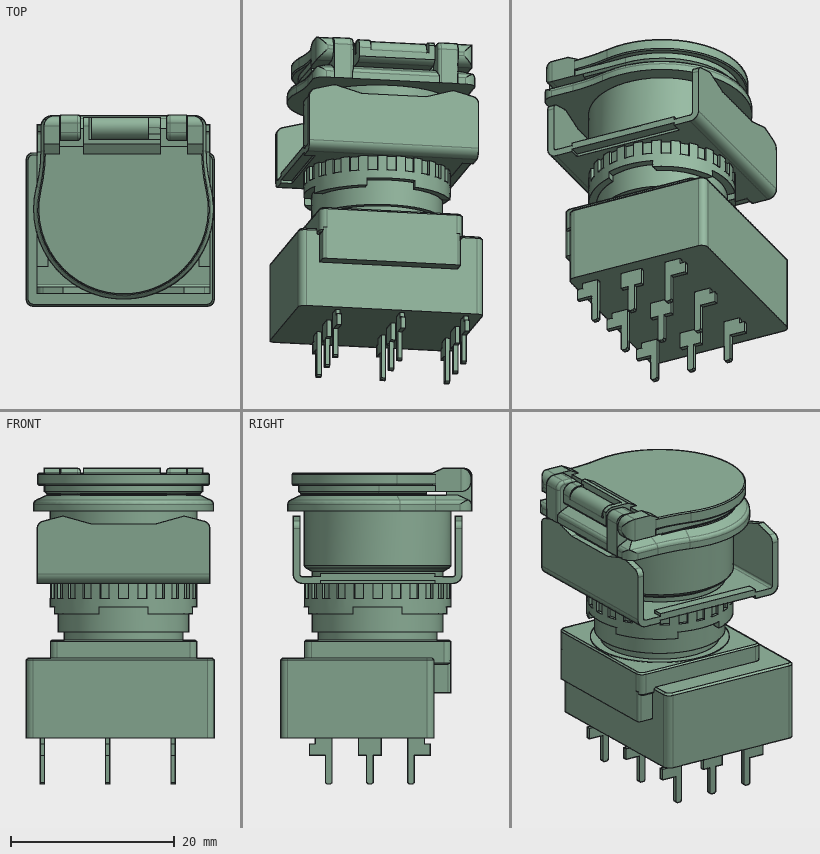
import cadquery as cq
import math

EPS = 0.5

PIN_SHOULDER_BOTTOM_Z = 3.5
PIN_SHOULDER_TOP_Z = 4.9
BASE_BOTTOM_Z = 5.6
REAR_STEP_BOTTOM_Z = 11.15
REAR_STEP_TOP_Z = 14.6
BASE_TOP_Z = 15.4
CASE_TOP_Z = 17.6
NECK_TOP_Z = 18.55
NUT_BOTTOM_Z = 20.8
NUT_NOTCH_TOP_Z = 21.65
NUT_SLOT_BOTTOM_Z = 22.7
NUT_TOP_Z = 24.5
FLANGE_BOTTOM_Z = 33.35
FLANGE_TOP_Z = 35.3
SKIRT_BOTTOM_Z = 35.45
HINGE_BOTTOM_Z = 35.75
LID_BOTTOM_Z = 36.5
LID_TOP_Z = 38.0
HINGE_TOP_Z = 38.6

BASE_WIDTH = 23.0
BASE_CENTER_X = -0.4
BASE_FRONT_Y = -11.87
BASE_BACK_Y = 6.9
BASE_CORNER_RADIUS = 0.85
BASE_TOP_CHAMFER = 0.25
CASE_SIDE = 17.9
CASE_CORNER_RADIUS = 0.85
CASE_EDGE_CHAMFER = 0.2
REAR_STEP_INSET = 0.35
CASE_RECESS_RADIUS = 8.5
CASE_RECESS_DEPTH = 0.1

PIN_COLUMNS = 3
PIN_PITCH_X = 8.0
PIN_CENTER_X = -1.93
PIN_CENTER_Y = -0.95
PIN_THICKNESS = 0.55
PIN_WIDTH = 0.85
PIN_TIP_CHAMFER = 0.2
MIDDLE_SHOULDER_WIDTH = 2.8
OUTER_PIN_INNER_OFFSET = 4.6
OUTER_ROOT_WIDTH = 2.1
OUTER_SHOULDER_WIDTH = 2.8

NECK_RADIUS = 7.28
THREAD_RADIUS = 8.0
BARREL_RADIUS = 9.0
BARREL_TAPER_BOTTOM_Z = 25.95
BARREL_CHAMFER_BOTTOM_Z = 26.4
BARREL_STRAIGHT_BOTTOM_Z = 26.7
BARREL_CHAMFER = 0.25
FLANGE_RADIUS = 11.0
FLANGE_SIDE_X = 10.1
FLANGE_BACK_Y = 11.45
FLANGE_CORNER_RADIUS = 1.4
FLANGE_SLOPE_HEIGHT = 0.75
FLANGE_SLOPE_WIDTH = 1.6
FLANGE_EDGE_ROUND = 0.6
RIM_TOLERANCE = 0.05
SIDE_STRAIGHT_Y = 7.1

KNUCKLE_INNER_X = 5.25
KNUCKLE_OUTER_X = 7.7
KNUCKLE_FRONT_Y = 8.4
KNUCKLE_BACK_Y = 11.53
KNUCKLE_ROUND = 1.0
KNUCKLE_END_ROUND = 0.4
HINGE_AXIS_Y = 9.87
HINGE_AXIS_Z = 37.15

LID_RADIUS = 10.5
LID_SIDE_X = 9.7
LID_BACK_Y = 11.4
LID_CORNER_RADIUS = 1.2
LID_EDGE_CHAMFER = 0.15
SKIRT_RADIUS = 9.65
SKIRT_SIDE_X = 9.6
SKIRT_CHAMFER = 0.3
SKIRT_STEP_Y = 6.0
HINGE_BACK_ROUND = 1.2
RAMP_FOOT_Y = 6.73
RAMP_TOP_Y = 7.96
GAP_FRONT_Y = 7.66
GAP_OUTER_X = 7.8
LUG_LEFT_X = -4.9
LUG_RIGHT_X = 4.5
LUG_BACK_Y = 11.2
POCKET_LEFT_X = -4.2
POCKET_FRONT_Y = 8.5
ROLLER_LEFT_X = -3.9
ROLLER_RIGHT_X = 3.05
ROLLER_RADIUS = 1.33
ROLLER_STOP_FRONT_Y = 9.2

NUT_RADIUS = 8.97
NUT_SLOT_COUNT = 24
NUT_SLOT_WIDTH = 1.17
NUT_SLOT_DEPTH = 0.4
NUT_NOTCH_COUNT = 4
NUT_NOTCH_WIDTH = 6.0

BRACKET_HALF_X = 10.55
BRACKET_HALF_Y = 10.33
BRACKET_THICKNESS = 0.85
BRACKET_BEND_RADIUS = 1.15
BRACKET_VALLEY_Z = 31.8
BRACKET_PEAK_Z = 32.75
BRACKET_SHOULDER_Z = 31.95
BRACKET_VALLEY_HALF_X = 4.0
BRACKET_PEAK_X = 7.4
BRACKET_CORNER_RADIUS = 0.9
STRIP_INNER_X = 9.2
STRIP_HALF_Y = 7.0
STRIP_OFFSET = 0.35


def block(x_range, y_range, z_range):
    """Rectangular block between the given limits."""
    size = [high - low for low, high in (x_range, y_range, z_range)]
    corner = (x_range[0], y_range[0], z_range[0])
    return cq.Workplane("XY").box(*size, centered=False).translate(corner)


def disc(radius, bottom_z, top_z):
    return cq.Workplane("XY").workplane(offset=bottom_z).circle(radius).extrude(top_z - bottom_z)


def hinge_outline(radius, side_x, back_y, bottom_z, top_z):
    """Round plate blended by concave arcs into a straight-sided hinge end."""
    blend = (side_x**2 + SIDE_STRAIGHT_Y**2 - radius**2) / (2 * (radius - side_x))
    blend_center_x = side_x + blend
    tangent_angle = math.atan2(SIDE_STRAIGHT_Y, blend_center_x)
    join_x = radius * math.cos(tangent_angle)
    join_y = radius * math.sin(tangent_angle)
    middle_x = blend_center_x - blend * math.cos(tangent_angle / 2)
    middle_y = SIDE_STRAIGHT_Y - blend * math.sin(tangent_angle / 2)
    return (
        cq.Workplane("XY").workplane(offset=bottom_z)
        .moveTo(-join_x, join_y)
        .threePointArc((0, -radius), (join_x, join_y))
        .threePointArc((middle_x, middle_y), (side_x, SIDE_STRAIGHT_Y))
        .lineTo(side_x, back_y)
        .lineTo(-side_x, back_y)
        .lineTo(-side_x, SIDE_STRAIGHT_Y)
        .threePointArc((-middle_x, middle_y), (-join_x, join_y))
        .close()
        .extrude(top_z - bottom_z)
    )


def make_base():
    base_left_x = BASE_CENTER_X - BASE_WIDTH / 2
    base = block(
        (base_left_x, base_left_x + BASE_WIDTH),
        (BASE_FRONT_Y, BASE_BACK_Y),
        (BASE_BOTTOM_Z, BASE_TOP_Z),
    )
    return base.edges("|Z").fillet(BASE_CORNER_RADIUS).faces(">Z").edges().chamfer(BASE_TOP_CHAMFER)


def make_case():
    """Square case, with a narrower step hanging down behind the base."""
    half = CASE_SIDE / 2
    step_half = half - REAR_STEP_INSET
    case = block((-half, half), (-half, half), (REAR_STEP_TOP_Z, CASE_TOP_Z))
    case = case.edges("|Z").fillet(CASE_CORNER_RADIUS)
    case = case.faces("|Z").edges().chamfer(CASE_EDGE_CHAMFER)
    rear_step = block((-step_half, step_half), (0, half), (REAR_STEP_BOTTOM_Z, CASE_TOP_Z - EPS))
    rear_step = rear_step.edges("|Z and >Y").fillet(REAR_STEP_INSET)
    rear_step = rear_step.intersect(block((-half, half), (0, half), (0, REAR_STEP_TOP_Z + EPS)))
    recess = disc(CASE_RECESS_RADIUS, CASE_TOP_Z - CASE_RECESS_DEPTH, CASE_TOP_Z + EPS)
    return case.union(rear_step).cut(recess)


def pin_plate(x, points):
    """Flat pin of the given Y-Z outline, centred on x, with a chamfered tip."""
    plate = cq.Workplane("YZ").workplane(offset=x - PIN_THICKNESS / 2)
    plate = plate.polyline(points).close().extrude(PIN_THICKNESS)
    return plate.faces("<Z").edges("|X").chamfer(PIN_TIP_CHAMFER)


def middle_pin(x):
    half_shoulder = MIDDLE_SHOULDER_WIDTH / 2
    half_pin = PIN_WIDTH / 2
    root_z = BASE_BOTTOM_Z + EPS
    outline = [
        (-half_pin, 0), (half_pin, 0),
        (half_pin, PIN_SHOULDER_BOTTOM_Z), (half_shoulder, PIN_SHOULDER_BOTTOM_Z),
        (half_shoulder, root_z), (-half_shoulder, root_z),
        (-half_shoulder, PIN_SHOULDER_BOTTOM_Z), (-half_pin, PIN_SHOULDER_BOTTOM_Z),
    ]
    return pin_plate(x, [(PIN_CENTER_Y + y, z) for y, z in outline])


def outer_pin(x, side):
    """Pin of the front (side -1) or back (side +1) row; its shoulder points outward."""
    root_z = BASE_BOTTOM_Z + EPS
    outline = [
        (0, 0), (PIN_WIDTH, 0),
        (PIN_WIDTH, PIN_SHOULDER_BOTTOM_Z), (OUTER_SHOULDER_WIDTH, PIN_SHOULDER_BOTTOM_Z),
        (OUTER_SHOULDER_WIDTH, PIN_SHOULDER_TOP_Z), (OUTER_ROOT_WIDTH, PIN_SHOULDER_TOP_Z),
        (OUTER_ROOT_WIDTH, root_z), (0, root_z),
    ]
    return pin_plate(x, [(PIN_CENTER_Y + side * (OUTER_PIN_INNER_OFFSET + y), z) for y, z in outline])


def make_barrel():
    profile = [
        (0, CASE_TOP_Z - EPS), (NECK_RADIUS, CASE_TOP_Z - EPS),
        (NECK_RADIUS, NECK_TOP_Z), (THREAD_RADIUS, NECK_TOP_Z),
        (THREAD_RADIUS, BARREL_TAPER_BOTTOM_Z),
        (BARREL_RADIUS - BARREL_CHAMFER, BARREL_CHAMFER_BOTTOM_Z),
        (BARREL_RADIUS, BARREL_STRAIGHT_BOTTOM_Z),
        (BARREL_RADIUS, FLANGE_BOTTOM_Z + EPS), (0, FLANGE_BOTTOM_Z + EPS),
    ]
    return cq.Workplane("XZ").polyline(profile).close().revolve(360, (0, 0), (0, 1))


def make_flange():
    """Flange with a wide sloped rim; the corners are rounded after sloping."""
    outline = (FLANGE_RADIUS, FLANGE_SIDE_X, FLANGE_BACK_Y, FLANGE_BOTTOM_Z, FLANGE_TOP_Z)
    sloped = hinge_outline(*outline)
    sloped = sloped.faces(">Z").edges().chamfer(FLANGE_SLOPE_HEIGHT, FLANGE_SLOPE_WIDTH)
    rim_z = FLANGE_TOP_Z - FLANGE_SLOPE_HEIGHT
    rim_slice = cq.selectors.BoxSelector(
        (-2 * FLANGE_RADIUS, -2 * FLANGE_RADIUS, rim_z - RIM_TOLERANCE),
        (2 * FLANGE_RADIUS, 2 * FLANGE_RADIUS, rim_z + RIM_TOLERANCE),
    )
    sloped = sloped.edges(rim_slice).fillet(FLANGE_EDGE_ROUND)
    rounded = hinge_outline(*outline).edges("|Z and >Y").fillet(FLANGE_CORNER_RADIUS)
    return sloped.intersect(rounded)


def make_knuckle(side):
    """Hinge knuckle standing on the flange, rounded on top and at its inner end."""
    knuckle = block(
        (KNUCKLE_INNER_X, KNUCKLE_OUTER_X),
        (KNUCKLE_FRONT_Y, KNUCKLE_BACK_Y),
        (FLANGE_BOTTOM_Z, HINGE_TOP_Z),
    )
    knuckle = knuckle.faces(">Z").edges("|X").fillet(KNUCKLE_ROUND)
    knuckle = knuckle.faces("<X").edges("not <Z").fillet(KNUCKLE_END_ROUND)
    return knuckle if side > 0 else knuckle.mirror("YZ")


def make_housing():
    """Operator housing: base, terminal pins, case, barrel, flange and knuckles."""
    housing = make_base().union(make_case()).union(make_barrel()).union(make_flange())
    for column in range(PIN_COLUMNS):
        x = PIN_CENTER_X + (column - (PIN_COLUMNS - 1) / 2) * PIN_PITCH_X
        housing = housing.union(middle_pin(x))
        for side in (-1, 1):
            housing = housing.union(outer_pin(x, side))
    for side in (-1, 1):
        housing = housing.union(make_knuckle(side))
    return housing


def make_hinge_bar():
    """Raised bar along the lid's back edge, with a ramp in front and a rounded back."""
    straight_back_y = LID_BACK_Y - HINGE_BACK_ROUND
    diagonal = HINGE_BACK_ROUND * math.sqrt(0.5)
    arc_middle_y = straight_back_y + diagonal
    top_center_z = HINGE_TOP_Z - HINGE_BACK_ROUND
    bottom_center_z = HINGE_BOTTOM_Z + HINGE_BACK_ROUND
    bar = (
        cq.Workplane("YZ").workplane(offset=-LID_SIDE_X)
        .moveTo(SIDE_STRAIGHT_Y, HINGE_BOTTOM_Z)
        .lineTo(straight_back_y, HINGE_BOTTOM_Z)
        .threePointArc((arc_middle_y, bottom_center_z - diagonal), (LID_BACK_Y, bottom_center_z))
        .lineTo(LID_BACK_Y, top_center_z)
        .threePointArc((arc_middle_y, top_center_z + diagonal), (straight_back_y, HINGE_TOP_Z))
        .lineTo(RAMP_TOP_Y, HINGE_TOP_Z)
        .lineTo(RAMP_FOOT_Y, LID_TOP_Z)
        .lineTo(RAMP_FOOT_Y, LID_BOTTOM_Z)
        .lineTo(SIDE_STRAIGHT_Y, LID_BOTTOM_Z)
        .close()
        .extrude(2 * LID_SIDE_X)
    )
    footprint = hinge_outline(LID_RADIUS, LID_SIDE_X, LID_BACK_Y, HINGE_BOTTOM_Z, HINGE_TOP_Z)
    return bar.intersect(footprint.edges("|Z and >Y").fillet(LID_CORNER_RADIUS))


def cut_knuckle_gaps(lid):
    """Clear the lid around both knuckles and level the ramp in front of them."""
    for gap_x in ((-GAP_OUTER_X, LUG_LEFT_X), (LUG_RIGHT_X, GAP_OUTER_X)):
        lid = lid.cut(block(gap_x, (GAP_FRONT_Y, LID_BACK_Y + EPS), (SKIRT_BOTTOM_Z, HINGE_TOP_Z + EPS)))
        lid = lid.cut(block(gap_x, (RAMP_FOOT_Y, GAP_FRONT_Y), (LID_TOP_Z, HINGE_TOP_Z + EPS)))
    return lid


def add_roller(lid):
    """Pocket in the middle lug holding a cylindrical roller and its end stop."""
    lug_x = (LUG_LEFT_X, LUG_RIGHT_X)
    lid = lid.cut(block(lug_x, (LUG_BACK_Y, LID_BACK_Y + EPS), (SKIRT_BOTTOM_Z, HINGE_TOP_Z + EPS)))
    pocket = block(
        (POCKET_LEFT_X, LUG_RIGHT_X),
        (POCKET_FRONT_Y, LUG_BACK_Y),
        (HINGE_AXIS_Z, HINGE_TOP_Z + EPS),
    )
    end_stop = block(
        (ROLLER_RIGHT_X, LUG_RIGHT_X),
        (ROLLER_STOP_FRONT_Y, LUG_BACK_Y),
        (HINGE_AXIS_Z, HINGE_TOP_Z),
    ).edges(">Y and >Z").fillet(HINGE_BACK_ROUND)
    roller = (
        cq.Workplane("YZ").workplane(offset=ROLLER_LEFT_X)
        .center(HINGE_AXIS_Y, HINGE_AXIS_Z)
        .circle(ROLLER_RADIUS)
        .extrude(ROLLER_RIGHT_X - ROLLER_LEFT_X)
    )
    return lid.cut(pocket).union(end_stop).union(roller)


def make_lid():
    """Flip lid: plate, skirt below it and the hinge bar at the back."""
    plate = hinge_outline(LID_RADIUS, LID_SIDE_X, GAP_FRONT_Y, LID_BOTTOM_Z, LID_TOP_Z)
    plate = plate.faces("|Z").edges().chamfer(LID_EDGE_CHAMFER)
    skirt = hinge_outline(SKIRT_RADIUS, SKIRT_SIDE_X, GAP_FRONT_Y, SKIRT_BOTTOM_Z, LID_BOTTOM_Z)
    skirt = skirt.faces("<Z").edges().chamfer(SKIRT_CHAMFER)
    skirt = skirt.cut(block(
        (-SKIRT_RADIUS, SKIRT_RADIUS),
        (SKIRT_STEP_Y, GAP_FRONT_Y),
        (SKIRT_BOTTOM_Z, HINGE_BOTTOM_Z),
    ))
    lid = plate.union(skirt).union(make_hinge_bar())
    return add_roller(cut_knuckle_gaps(lid))


def make_nut():
    """Lock nut with grip slots round its top and wrench notches in its lower edge."""
    nut = disc(NUT_RADIUS, NUT_BOTTOM_Z, NUT_TOP_Z)
    slot = block(
        (NUT_RADIUS - NUT_SLOT_DEPTH, NUT_RADIUS + EPS),
        (-NUT_SLOT_WIDTH / 2, NUT_SLOT_WIDTH / 2),
        (NUT_SLOT_BOTTOM_Z, NUT_TOP_Z + EPS),
    )
    for index in range(NUT_SLOT_COUNT):
        nut = nut.cut(slot.rotate((0, 0, 0), (0, 0, 1), index * 360 / NUT_SLOT_COUNT))
    notch = block(
        (0, NUT_RADIUS + EPS),
        (-NUT_NOTCH_WIDTH / 2, NUT_NOTCH_WIDTH / 2),
        (NUT_BOTTOM_Z - EPS, NUT_NOTCH_TOP_Z),
    )
    for index in range(NUT_NOTCH_COUNT):
        nut = nut.cut(notch.rotate((0, 0, 0), (0, 0, 1), index * 360 / NUT_NOTCH_COUNT))
    return nut.cut(disc(THREAD_RADIUS, NUT_BOTTOM_Z - EPS, NUT_TOP_Z + EPS))


def make_bracket():
    """Bent sheet bracket: a floor under the barrel and two waved upright walls."""
    floor_top_z = NUT_TOP_Z + BRACKET_THICKNESS
    inner_half_y = BRACKET_HALF_Y - BRACKET_THICKNESS
    x_range = (-BRACKET_HALF_X, BRACKET_HALF_X)
    channel = block(x_range, (-BRACKET_HALF_Y, BRACKET_HALF_Y), (NUT_TOP_Z, BRACKET_PEAK_Z))
    channel = channel.faces("<Z").edges("|X").fillet(BRACKET_BEND_RADIUS)
    hollow = block(x_range, (-inner_half_y, inner_half_y), (floor_top_z, BRACKET_PEAK_Z + EPS))
    hollow = hollow.faces("<Z").edges("|X").fillet(BRACKET_BEND_RADIUS - BRACKET_THICKNESS)
    right_half = [
        (BRACKET_HALF_X, NUT_TOP_Z), (BRACKET_HALF_X, BRACKET_SHOULDER_Z),
        (BRACKET_PEAK_X, BRACKET_PEAK_Z), (BRACKET_VALLEY_HALF_X, BRACKET_VALLEY_Z),
    ]
    left_half = [(-x, z) for x, z in reversed(right_half)]
    wall_shape = (
        cq.Workplane("XZ").polyline(right_half + left_half).close()
        .extrude(BRACKET_HALF_Y, both=True)
    )
    for side in (-1, 1):
        corner = cq.selectors.NearestToPointSelector((side * BRACKET_HALF_X, 0, BRACKET_SHOULDER_Z))
        wall_shape = wall_shape.edges("|Y").edges(corner).fillet(BRACKET_CORNER_RADIUS)
    bracket = channel.cut(hollow).intersect(wall_shape)
    for strip_x in ((STRIP_INNER_X, BRACKET_HALF_X), (-BRACKET_HALF_X, -STRIP_INNER_X)):
        strip_y = (-STRIP_HALF_Y, STRIP_HALF_Y)
        bracket = bracket.cut(block(strip_x, strip_y, (NUT_TOP_Z, NUT_TOP_Z + STRIP_OFFSET)))
        bracket = bracket.union(block(strip_x, strip_y, (floor_top_z, floor_top_z + STRIP_OFFSET)))
    return bracket.cut(disc(THREAD_RADIUS, NUT_TOP_Z - EPS, floor_top_z + EPS))


housing = make_housing()
lid = make_lid()
nut = make_nut()
bracket = make_bracket()

result = cq.Compound.makeCompound([body.solids().val() for body in (housing, lid, nut, bracket)])